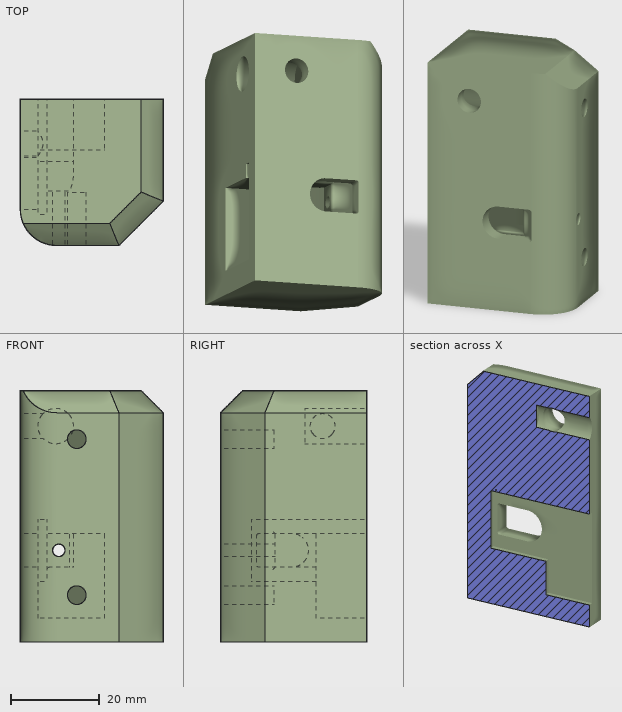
import cadquery as cq
import math

WIDTH = 32.25
DEPTH = 33.0
HEIGHT = 56.7
FRONT_LEFT_RADIUS = 8.25
CORNER_CUT = 10.0
TOP_CHAMFER = 5.0

SCREW_DIAMETER = 4.2
SCREW_DEPTH = 12.0
SCREW_X = 12.75
SCREW_HEIGHTS = (10.6, 45.75)

PASSAGE_HOLE_DIAMETER = 5.6
PASSAGE_BORE_DIAMETER = 8.0
PASSAGE_Y = 23.0
PASSAGE_Z = 48.7
PASSAGE_BORE_X = 8.0

SLOT_Z = 20.7
SLOT_HEIGHT = 7.6
SLOT_FRONT_Y = 8.1
SLOT_CORNER_RADIUS = 0.6
SLOT_ROUND_Y = 16.0
WALL = 4.0

GAP_WIDTH = 2.0
GAP_FRONT_Y = 7.0
GAP_HEIGHT = 14.0

POCKET_FRONT_Y = 12.3
POCKET_CURVE_RADIUS = 8.0
POCKET_X = 12.0
MOUTH_RADIUS = 0.6

CHAMBER_FRONT_Y = 21.5
CHAMBER_RIGHT_X = 19.0
CHAMBER_BOTTOM_Z = 5.5

WIRE_DIAMETER = 2.75
WIRE_X = 8.7

GAP_RIGHT_X = WALL + GAP_WIDTH
SLOT_BOTTOM_Z = SLOT_Z - SLOT_HEIGHT / 2
SLOT_TOP_Z = SLOT_Z + SLOT_HEIGHT / 2
GAP_BOTTOM_Z = SLOT_Z - GAP_HEIGHT / 2
GAP_TOP_Z = SLOT_Z + GAP_HEIGHT / 2


def box(x_range, y_range, z_range):
    """Axis-aligned box from its three coordinate ranges."""
    size = [high - low for low, high in (x_range, y_range, z_range)]
    corner = (x_range[0], y_range[0], z_range[0])
    return cq.Workplane("XY").box(*size, centered=False).translate(corner)


def bore_along_x(diameter, y, z, length):
    """Cylinder running inward from the left face."""
    return cq.Workplane("YZ").center(y, z).circle(diameter / 2).extrude(length)


def bore_along_y(diameter, x, z, y_start, y_end):
    """Cylinder running from y_start back to y_end."""
    profile = cq.Workplane("XZ", origin=(x, y_start, z)).circle(diameter / 2)
    return profile.extrude(y_start - y_end)


def chamfer_wedge(plane, width, length):
    """Triangular prism that removes the top edge of a side face."""
    profile = plane.moveTo(0, HEIGHT).lineTo(0, HEIGHT - TOP_CHAMFER).lineTo(-width, HEIGHT).close()
    return profile.extrude(length, both=True)


def make_block():
    """Block with a rounded corner, a cut corner and three sloping top edges."""
    block = (
        cq.Workplane("XY")
        .moveTo(0, DEPTH)
        .lineTo(0, FRONT_LEFT_RADIUS)
        .radiusArc((FRONT_LEFT_RADIUS, 0), -FRONT_LEFT_RADIUS)
        .lineTo(WIDTH - CORNER_CUT, 0)
        .lineTo(WIDTH, CORNER_CUT)
        .lineTo(WIDTH, DEPTH)
        .close()
        .extrude(HEIGHT)
    )
    diagonal = math.sqrt(0.5)
    side_faces = (
        ((WIDTH, DEPTH, 0), (1, 0, 0)),
        ((WIDTH - CORNER_CUT, 0, 0), (diagonal, -diagonal, 0)),
        ((0, 0, 0), (0, -1, 0)),
    )
    for origin, outward in side_faces:
        along = (outward[1], -outward[0], 0)
        plane = cq.Workplane(cq.Plane(origin=origin, xDir=outward, normal=along))
        block = block.cut(chamfer_wedge(plane, TOP_CHAMFER, WIDTH + DEPTH))
    return block


def make_screw_holes():
    holes = cq.Workplane("XY")
    for z in SCREW_HEIGHTS:
        holes = holes.union(bore_along_y(SCREW_DIAMETER, SCREW_X, z, 0, SCREW_DEPTH))
    return holes


def make_passage():
    """Side hole ending at the axis of a wider bore from the back face."""
    side_hole = bore_along_x(PASSAGE_HOLE_DIAMETER, PASSAGE_Y, PASSAGE_Z, PASSAGE_BORE_X)
    bore_front_y = PASSAGE_Y - PASSAGE_BORE_DIAMETER / 2
    bore = bore_along_y(PASSAGE_BORE_DIAMETER, PASSAGE_BORE_X, PASSAGE_Z, bore_front_y, DEPTH)
    return side_hole.union(bore)


def make_slot():
    """Slot through the left wall: square front end, round back end."""
    square_end = box((0, WALL), (SLOT_FRONT_Y, SLOT_ROUND_Y), (SLOT_BOTTOM_Z, SLOT_TOP_Z))
    square_end = square_end.edges("|X and <Y").fillet(SLOT_CORNER_RADIUS)
    return square_end.union(bore_along_x(SLOT_HEIGHT, SLOT_ROUND_Y, SLOT_Z, WALL))


def make_pocket():
    """Pocket whose deep wall curves forward to its front wall."""
    run = SLOT_ROUND_Y - POCKET_FRONT_Y
    rise = POCKET_CURVE_RADIUS - math.sqrt(POCKET_CURVE_RADIUS**2 - run**2)
    return (
        cq.Workplane("XY", origin=(0, 0, SLOT_BOTTOM_Z))
        .moveTo(GAP_RIGHT_X, CHAMBER_FRONT_Y)
        .lineTo(GAP_RIGHT_X, POCKET_FRONT_Y)
        .lineTo(POCKET_X - rise, POCKET_FRONT_Y)
        .radiusArc((POCKET_X, SLOT_ROUND_Y), -POCKET_CURVE_RADIUS)
        .lineTo(POCKET_X, CHAMBER_FRONT_Y)
        .close()
        .extrude(SLOT_HEIGHT)
    )


def make_cavity():
    """Gap and pocket with a rounded mouth between them, plus the chamber behind."""
    gap = box((WALL, GAP_RIGHT_X), (GAP_FRONT_Y, DEPTH), (GAP_BOTTOM_Z, GAP_TOP_Z))
    cavity = gap.union(make_pocket())
    mouth_zone = cq.selectors.BoxSelector(
        (GAP_RIGHT_X - MOUTH_RADIUS, GAP_FRONT_Y + MOUTH_RADIUS, GAP_BOTTOM_Z + MOUTH_RADIUS),
        (GAP_RIGHT_X + MOUTH_RADIUS, CHAMBER_FRONT_Y - MOUTH_RADIUS, GAP_TOP_Z - MOUTH_RADIUS),
    )
    cavity = cavity.edges(mouth_zone).fillet(MOUTH_RADIUS)
    chamber = box((WALL, CHAMBER_RIGHT_X), (CHAMBER_FRONT_Y, DEPTH), (CHAMBER_BOTTOM_Z, SLOT_TOP_Z))
    return cavity.union(chamber)


def make_wire_hole():
    return bore_along_y(WIRE_DIAMETER, WIRE_X, SLOT_Z, 0, DEPTH)


result = make_block()
result = result.cut(make_screw_holes())
result = result.cut(make_passage())
result = result.cut(make_cavity())
result = result.cut(make_slot())
result = result.cut(make_wire_hole())